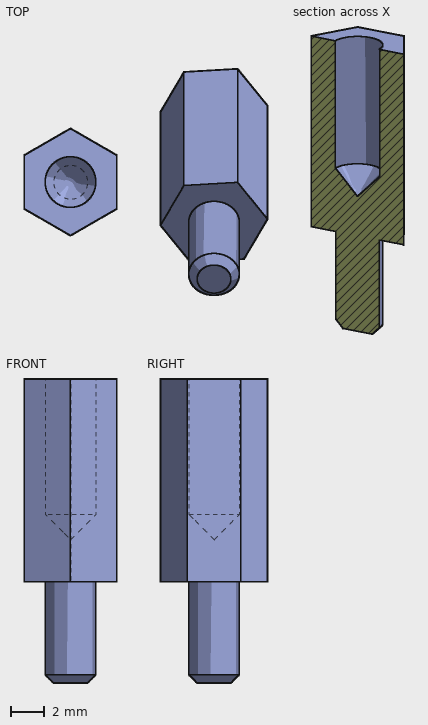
import cadquery as cq
import math

across_flats = 5.5
body_length = 12.0
hexagon_sides = 6
across_corners = across_flats / math.cos(math.pi / hexagon_sides)
flats_to_x_turn = 180 / hexagon_sides

thread_diameter = 3.0
thread_radius = thread_diameter / 2

stud_length = 6.0
tip_chamfer = 0.5

hole_depth = 8.0
drill_point_angle = 90.0
drill_point_height = thread_radius / math.tan(math.radians(drill_point_angle / 2))


def hexagonal_body():
    """Hexagonal prism standing on the plane Z = 0."""
    prism = cq.Workplane("XY").polygon(hexagon_sides, across_corners).extrude(body_length)
    return prism.rotate((0, 0, 0), (0, 0, 1), flats_to_x_turn)


def stud():
    """Cylinder hanging below the body, chamfered at its free end."""
    shank = cq.Workplane("XY").circle(thread_radius).extrude(-stud_length)
    return shank.faces("<Z").chamfer(tip_chamfer)


def blind_hole():
    """Drilled volume, revolved about the Z axis."""
    shoulder_z = body_length - hole_depth
    half_profile = (
        cq.Workplane("XZ")
        .moveTo(0, body_length)
        .lineTo(thread_radius, body_length)
        .lineTo(thread_radius, shoulder_z)
        .lineTo(0, shoulder_z - drill_point_height)
        .close()
    )
    return half_profile.revolve(360, (0, 0), (0, 1))


result = hexagonal_body().union(stud()).cut(blind_hole())